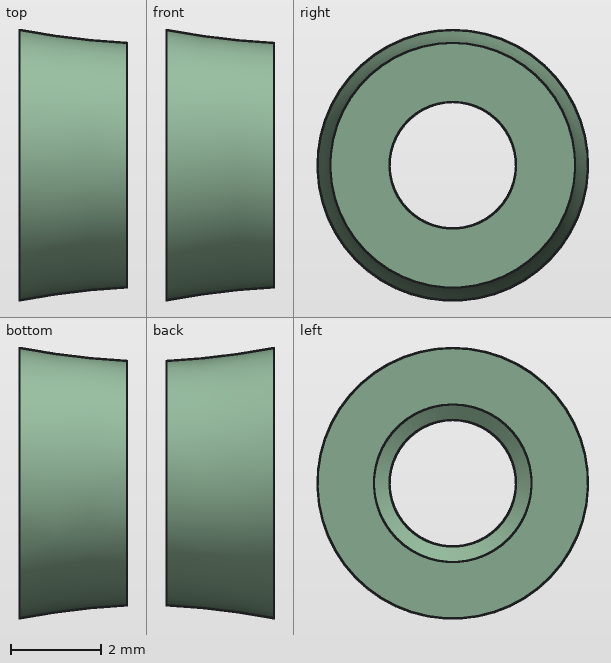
import cadquery as cq
import math

width = 2.38
large_radius = 3.0
small_radius = 2.71
flank_sag = 0.04
bore_radius = 1.4
countersink_radius = 1.745
countersink_angle = 120

half_angle = math.radians(countersink_angle / 2)
countersink_depth = (countersink_radius - bore_radius) / math.tan(half_angle)
mid_radius = (large_radius + small_radius) / 2 - flank_sag

section = (
    cq.Workplane("XZ")
    .moveTo(0, countersink_radius)
    .lineTo(0, large_radius)
    .threePointArc((width / 2, mid_radius), (width, small_radius))
    .lineTo(width, bore_radius)
    .lineTo(countersink_depth, bore_radius)
    .close()
)

result = section.revolve(360, (0, 0, 0), (1, 0, 0))